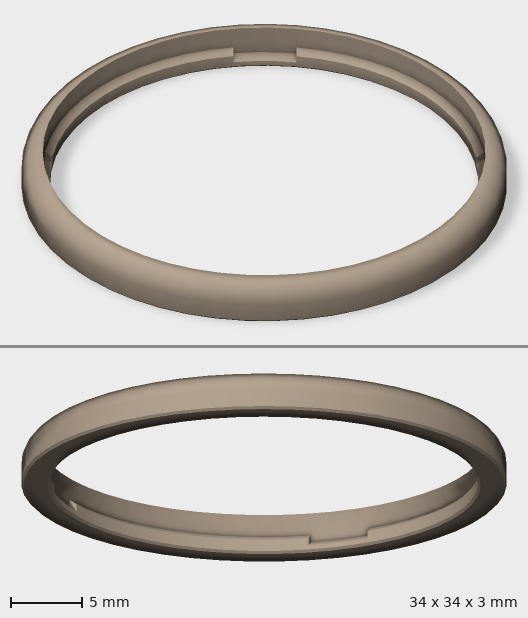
import cadquery as cq
import math

outer_diameter = 34.0
bore_diameter = 31.0
lip_diameter = 30.0
height = 3.0
bottom_chamfer = 0.17

lip_straight_height = 1.02
lip_cone_height = 0.4

notch_count = 4
first_notch_angle = 45.0
notch_width = 4.42
notch_drop = 0.5

outer_radius = outer_diameter / 2
bore_radius = bore_diameter / 2
lip_radius = lip_diameter / 2
lip_top = lip_straight_height + lip_cone_height


def make_ring():
    """Revolve the ring section: rounded outer shoulder, bore and inner lip."""
    shoulder_radius = outer_radius - bore_radius
    shoulder_z = height - shoulder_radius
    diagonal = math.cos(math.radians(45))
    shoulder_middle = (
        bore_radius + shoulder_radius * diagonal,
        shoulder_z + shoulder_radius * diagonal,
    )
    section = (
        cq.Workplane("XZ")
        .moveTo(lip_radius, bottom_chamfer)
        .lineTo(lip_radius + bottom_chamfer, 0)
        .lineTo(outer_radius - bottom_chamfer, 0)
        .lineTo(outer_radius, bottom_chamfer)
        .lineTo(outer_radius, shoulder_z)
        .threePointArc(shoulder_middle, (bore_radius, height))
        .lineTo(bore_radius, lip_top)
        .lineTo(lip_radius, lip_straight_height)
        .close()
    )
    return section.revolve(360, (0, 0, 0), (0, 1, 0))


def make_notch_band():
    """Revolve the slice of lip removed by lowering its conical face."""
    section = cq.Workplane("XZ").polyline([
        (lip_radius, lip_straight_height - notch_drop),
        (bore_radius, lip_top - notch_drop),
        (bore_radius, lip_top),
        (lip_radius, lip_straight_height),
    ]).close()
    return section.revolve(360, (0, 0, 0), (0, 1, 0))


def make_notch_cutter(angle):
    """Keep the part of the band that lies in one notch."""
    block = cq.Workplane("XY").box(
        outer_radius, notch_width, height, centered=(False, True, False)
    )
    return make_notch_band().intersect(block.rotate((0, 0, 0), (0, 0, 1), angle))


result = make_ring()
for index in range(notch_count):
    notch_angle = first_notch_angle + index * 360 / notch_count
    result = result.cut(make_notch_cutter(notch_angle))